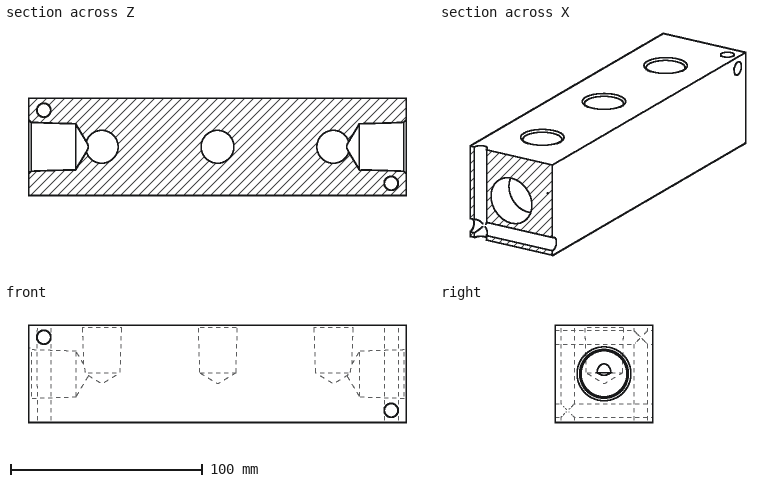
import cadquery as cq
import math

LENGTH = 196.85
SIDE = 50.8

MOUNT_DIAMETER = 7.11
MOUNT_END_INSET = 7.94
MOUNT_EDGE_INSET = 6.35

TAPER_ON_DIAMETER = 1 / 16
DRILL_POINT_ANGLE = 118

TOP_PORT_COUNT = 3
TOP_PORT_SPACING = 60.325
TOP_MOUTH_DIAMETER = 22.6
TOP_BORE_DIAMETER = 20.3
TOP_BORE_DEPTH = 24.8

END_MOUTH_DIAMETER = 28.1
END_BORE_DIAMETER = 25.4
END_BORE_DEPTH = 24.45


def pipe_port(mouth_diameter, bore_diameter, bore_depth):
    """Cutter for a port whose mouth lies at the origin and which runs toward -Z."""
    mouth_radius = mouth_diameter / 2
    bore_radius = bore_diameter / 2
    chamfer_depth = mouth_radius - bore_radius
    bottom_radius = bore_radius - (bore_depth - chamfer_depth) * TAPER_ON_DIAMETER / 2
    point_depth = bottom_radius / math.tan(math.radians(DRILL_POINT_ANGLE / 2))
    half_profile = (
        cq.Workplane("XZ")
        .moveTo(0, 0)
        .lineTo(mouth_radius, 0)
        .lineTo(bore_radius, -chamfer_depth)
        .lineTo(bottom_radius, -bore_depth)
        .lineTo(0, -bore_depth - point_depth)
        .close()
    )
    return half_profile.revolve(360, (0, 0, 0), (0, 1, 0))


def cut_top_ports(body):
    """Row of ports along the middle of the top face."""
    port = pipe_port(TOP_MOUTH_DIAMETER, TOP_BORE_DIAMETER, TOP_BORE_DEPTH)
    for index in range(TOP_PORT_COUNT):
        x = (index - (TOP_PORT_COUNT - 1) / 2) * TOP_PORT_SPACING
        body = body.cut(port.translate((x, 0, SIDE / 2)))
    return body


def cut_end_ports(body):
    """One port in the centre of each end; its drill point breaks into the nearest top port."""
    port = pipe_port(END_MOUTH_DIAMETER, END_BORE_DIAMETER, END_BORE_DEPTH)
    for end in (-1, 1):
        turned_port = port.rotate((0, 0, 0), (0, 1, 0), end * 90)
        body = body.cut(turned_port.translate((end * LENGTH / 2, 0, 0)))
    return body


def cut_mounting_holes(body):
    """Two through holes in each direction, at diagonally opposite corners."""
    x = LENGTH / 2 - MOUNT_END_INSET
    offset = SIDE / 2 - MOUNT_EDGE_INSET
    corners = [(-x, offset), (x, -offset)]
    for plane in ("XY", "XZ"):
        holes = (
            cq.Workplane(plane)
            .pushPoints(corners)
            .circle(MOUNT_DIAMETER / 2)
            .extrude(SIDE / 2, both=True)
        )
        body = body.cut(holes)
    return body


block = cq.Workplane("XY").box(LENGTH, SIDE, SIDE)
block = cut_top_ports(block)
block = cut_end_ports(block)
result = cut_mounting_holes(block)